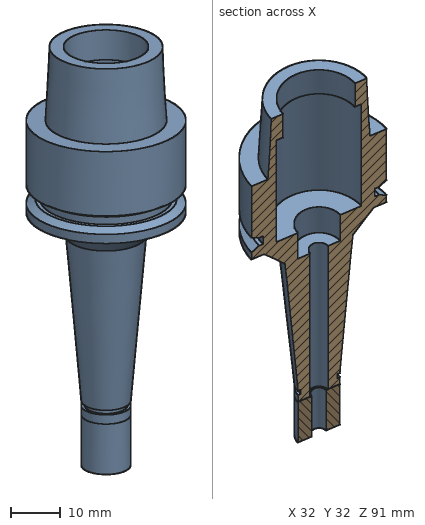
import cadquery as cq

nut_height = 11.0
collar_top = nut_height + 2.0
neck_top = collar_top + 1.0
arm_top = 50.0
flange_bottom = 55.0
flange_edge_top = 57.0
groove_bottom = 58.0
groove_top = 60.0
body_bottom = 61.0
shoulder = 75.0
shank_top = 91.0

nose_radius = 5.0
neck_radius = 4.35
arm_top_radius = 8.1
cone_top_radius = 13.0
body_radius = 16.0
groove_lip_radius = 14.2
groove_radius = 13.3
shank_base_radius = 12.15
shank_tip_radius = 11.35

mouth_radius = 8.5
mouth_depth = 6.5
chamber_radius = 10.0
chamber_floor = flange_edge_top
socket_radius = 5.0
socket_floor = arm_top
holder_hole_radius = 2.1
nut_hole_radius = 1.7


def make_holder():
    """Tool holder turned about Z: shank, gripper groove, flange and slender arm."""
    mouth_bottom = shank_top - mouth_depth
    profile = [
        (holder_hole_radius, nut_height),
        (nose_radius, nut_height),
        (nose_radius, collar_top),
        (neck_radius, collar_top),
        (neck_radius, neck_top),
        (nose_radius, neck_top),
        (arm_top_radius, arm_top),
        (cone_top_radius, flange_bottom),
        (body_radius, flange_bottom),
        (body_radius, flange_edge_top),
        (groove_lip_radius, groove_bottom),
        (groove_radius, groove_bottom),
        (groove_radius, groove_top),
        (groove_lip_radius, groove_top),
        (body_radius, body_bottom),
        (body_radius, shoulder),
        (shank_base_radius, shoulder),
        (shank_tip_radius, shank_top),
        (mouth_radius, shank_top),
        (mouth_radius, mouth_bottom),
        (chamber_radius, mouth_bottom),
        (chamber_radius, chamber_floor),
        (socket_radius, chamber_floor),
        (socket_radius, socket_floor),
        (holder_hole_radius, socket_floor),
    ]
    return cq.Workplane("XZ").polyline(profile).close().revolve(360, (0, 0), (0, 1))


def make_nut():
    """Plain round clamping nut at the nose, bored through for the tool."""
    return cq.Workplane("XY").circle(nose_radius).circle(nut_hole_radius).extrude(nut_height)


holder = make_holder()
nut = make_nut()

result = cq.Compound.makeCompound([holder.val(), nut.val()])